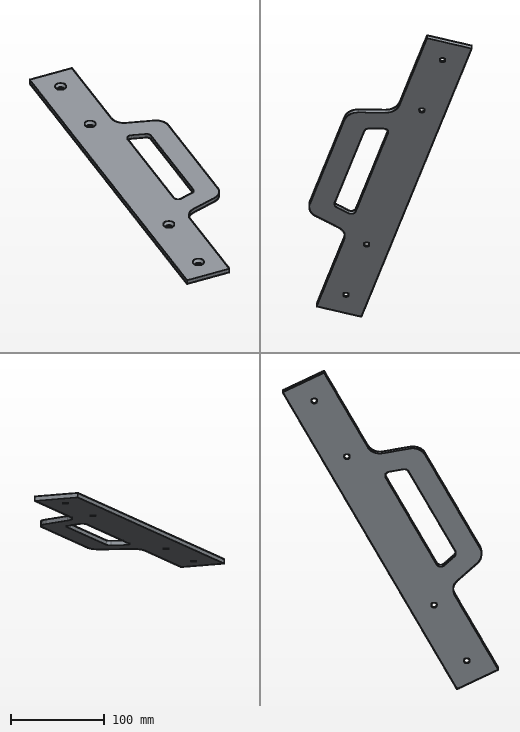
import cadquery as cq

thickness = 5.0
strip_length = 400.0
strip_width = 50.0

handle_height = 50.0
handle_base_half_width = 89.0
handle_top_half_width = 74.0
handle_fillet_radius = 15.0
handle_top_y = strip_width + handle_height

grip_height = 25.0
grip_side_setback = 24.0
grip_corner_radius = 5.0
grip_top_y = strip_width + grip_height

hole_diameter = 6.0
countersink_diameter = 12.0
countersink_angle = 90.0
outer_hole_x = 175.0
inner_hole_x = 100.0
hole_y = strip_width / 2

side_slope = (handle_base_half_width - handle_top_half_width) / handle_height
grip_base_half_width = handle_base_half_width - grip_side_setback
grip_top_half_width = grip_base_half_width - side_slope * grip_height


def make_plate():
    """Strip and handle as one flat plate, with rounded handle corners and roots."""
    half_length = strip_length / 2
    plate = (
        cq.Workplane("XY")
        .moveTo(-half_length, 0)
        .lineTo(half_length, 0)
        .lineTo(half_length, strip_width)
        .lineTo(handle_base_half_width, strip_width)
        .lineTo(handle_top_half_width, handle_top_y)
        .lineTo(-handle_top_half_width, handle_top_y)
        .lineTo(-handle_base_half_width, strip_width)
        .lineTo(-half_length, strip_width)
        .close()
        .extrude(thickness)
    )
    handle_corners = [
        (side * half_width, y, thickness / 2)
        for side in (-1, 1)
        for half_width, y in (
            (handle_base_half_width, strip_width),
            (handle_top_half_width, handle_top_y),
        )
    ]
    for corner in handle_corners:
        plate = plate.edges(cq.selectors.NearestToPointSelector(corner)).fillet(handle_fillet_radius)
    return plate


def make_grip_opening():
    """Trapezoidal cutter with rounded corners for the hand opening."""
    return (
        cq.Workplane("XY")
        .moveTo(-grip_base_half_width, strip_width)
        .lineTo(grip_base_half_width, strip_width)
        .lineTo(grip_top_half_width, grip_top_y)
        .lineTo(-grip_top_half_width, grip_top_y)
        .close()
        .extrude(thickness)
        .edges("|Z")
        .fillet(grip_corner_radius)
    )


def cut_screw_holes(plate):
    """Through holes countersunk from the top face."""
    hole_centers = [(x, hole_y) for x in (-outer_hole_x, -inner_hole_x, inner_hole_x, outer_hole_x)]
    return (
        plate.faces(">Z")
        .workplane(origin=(0, 0, thickness))
        .pushPoints(hole_centers)
        .cskHole(hole_diameter, countersink_diameter, countersink_angle)
    )


result = cut_screw_holes(make_plate().cut(make_grip_opening()))